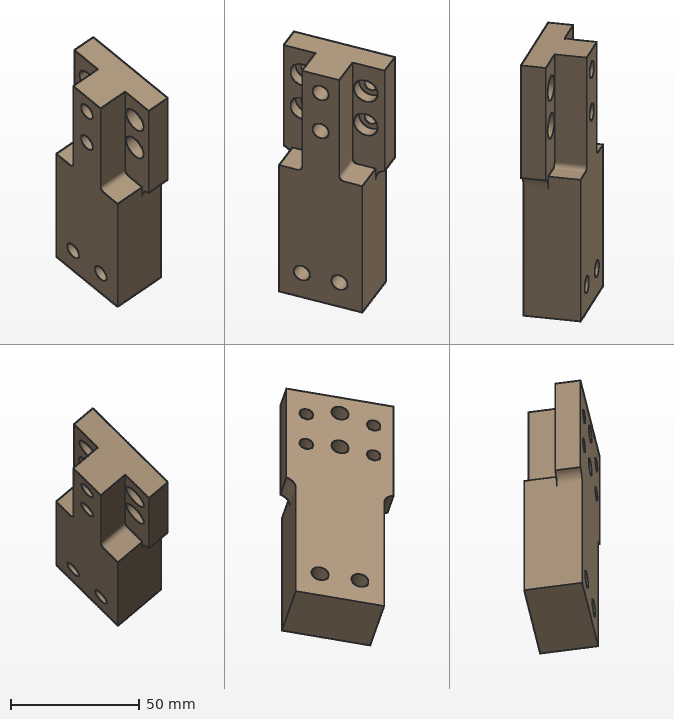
import cadquery as cq
import math

height = 108.0
plate_width = 43.0
depth = 23.0

plate_thickness = 10.0
body_width = 35.4
stem_width = 15.8
shoulder_z = height - 47.7
stem_fillet = 2.0
plate_relief_radius = 5.0

bolt_diameter = 5.4
bolt_spacing_x = 27.0
bolt_spacing_z = 16.0
bolt_top_offset = 12.0
counterbore_diameter = 10.0
counterbore_depth = 5.0
stem_hole_diameter = 6.8
stem_hole_spacing = 18.0
stem_hole_top_offset = 8.4
base_hole_spacing = 16.0
base_hole_z = 11.6

plate_front_y = depth - plate_thickness


def cylinders(points, diameter, start_y, length):
    """Cylinders running toward +Y from start_y, centred on (x, z) points."""
    plane = cq.Workplane("XZ", origin=(0, start_y, 0))
    return plane.pushPoints(points).circle(diameter / 2).extrude(-length)


def make_body():
    """Full-depth block with a narrower stem above its filleted shoulders."""
    half_body = body_width / 2
    half_stem = stem_width / 2
    outline = (
        cq.Workplane("XZ")
        .moveTo(-half_body, 0)
        .lineTo(half_body, 0)
        .lineTo(half_body, shoulder_z)
        .lineTo(half_stem + stem_fillet, shoulder_z)
        .radiusArc((half_stem, shoulder_z + stem_fillet), stem_fillet)
        .lineTo(half_stem, height)
        .lineTo(-half_stem, height)
        .lineTo(-half_stem, shoulder_z + stem_fillet)
        .radiusArc((-half_stem - stem_fillet, shoulder_z), stem_fillet)
        .lineTo(-half_body, shoulder_z)
        .close()
    )
    return outline.extrude(-depth)


def make_plate():
    """Rear plate whose lower corners sweep into the body with concave arcs."""
    half_plate = plate_width / 2
    half_body = body_width / 2
    arc_center_x = half_body + plate_relief_radius
    arc_center_z = shoulder_z - plate_relief_radius
    arc_rise = math.sqrt(plate_relief_radius**2 - (arc_center_x - half_plate) ** 2)
    arc_top_z = arc_center_z + arc_rise
    outline = (
        cq.Workplane("XZ", origin=(0, plate_front_y, 0))
        .moveTo(-half_body, arc_center_z)
        .lineTo(half_body, arc_center_z)
        .radiusArc((half_plate, arc_top_z), plate_relief_radius)
        .lineTo(half_plate, height)
        .lineTo(-half_plate, height)
        .lineTo(-half_plate, arc_top_z)
        .radiusArc((-half_body, arc_center_z), plate_relief_radius)
        .close()
    )
    return outline.extrude(-plate_thickness)


bolt_top_z = height - bolt_top_offset
bolt_points = [
    (side * bolt_spacing_x / 2, bolt_top_z - row * bolt_spacing_z)
    for side in (-1, 1)
    for row in (0, 1)
]
stem_top_hole_z = height - stem_hole_top_offset
large_hole_points = [(0, stem_top_hole_z - row * stem_hole_spacing) for row in (0, 1)]
large_hole_points += [(side * base_hole_spacing / 2, base_hole_z) for side in (-1, 1)]

result = (
    make_body()
    .union(make_plate())
    .cut(cylinders(large_hole_points, stem_hole_diameter, 0, depth))
    .cut(cylinders(bolt_points, bolt_diameter, plate_front_y, plate_thickness))
    .cut(cylinders(bolt_points, counterbore_diameter, plate_front_y, counterbore_depth))
)